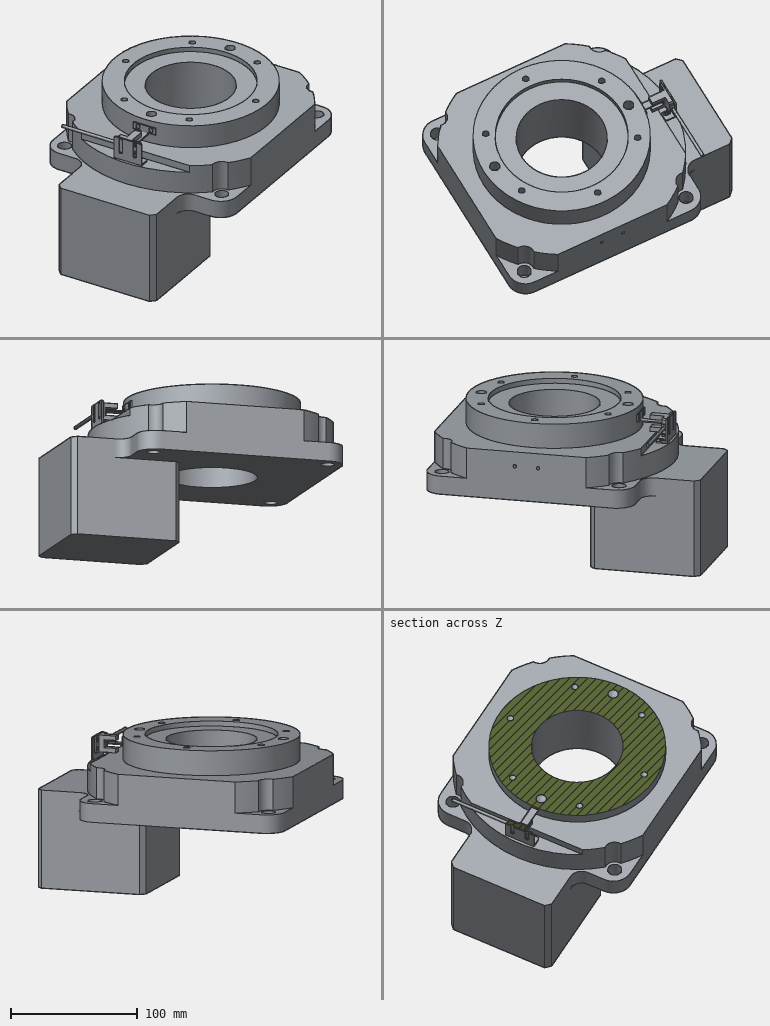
import cadquery as cq
import math


flange_size = 170.0
flange_height = 15.0
flange_corner_radius = 15.0
mount_hole_spacing = 145.0
mount_hole_diameter = 11.0
screw_head_clearance_radius = 8.0

housing_radius = 98.0
housing_top = 40.0

table_radius = 70.0
table_top = 60.0
bore_diameter = 72.0
recess_diameter = 105.0
recess_depth = 4.0

table_hole_circle_radius = 60.0
table_screw_count = 6
table_screw_diameter = 5.0
table_screw_depth = 12.0
dowel_hole_diameter = 8.0
dowel_hole_depth = 12.0
drill_point_angle = 118.0

motor_size = 90.0
motor_front_y = -130.6
motor_bottom = -64.0
motor_chamfer = 4.2
motor_blend_radius = 10.0

port_spacing = 19.0
port_height = 28.0
port_diameter = 2.5
port_depth = 6.0

ledge_back_y = -84.3
ledge_height = 33.9

bracket_center_x = -0.3
bracket_width = 25.5
bracket_thickness = 1.2
bracket_bend_radius = 0.6
bracket_face_y = -94.6
bracket_top = 53.6
bracket_corner_radius = 1.5
foot_back_y = -86.4
foot_notch_width = 9.4
foot_notch_end_y = -93.0
foot_slot_spacing = 14.0
foot_slot_width = 2.8
foot_slot_length = 5.5
bracket_screw_y = -90.5
bracket_screw_diameter = 2.5
bracket_screw_depth = 8.0
sensor_slot_z = 46.3
sensor_slot_spacing = 13.0
sensor_slot_width = 3.2
sensor_slot_length = 13.6

sensor_center_x = -0.6
sensor_bottom = housing_top
sensor_height = 13.6
sensor_mid_z = sensor_bottom + sensor_height / 2
sensor_base_width = 20.6
sensor_base_chamfer = 1.2
sensor_left_base_depth = 3.9
sensor_right_base_depth = 1.6
fork_width = 6.4
fork_tip_y = -79.2
fork_gap = 6.3
fork_gap_end_y = -89.1
sensor_hole_offset_x = 7.0
sensor_hole_spacing = 7.0
sensor_hole_diameter = 3.2
outlet_length = 1.5
outlet_height = 5.0
cable_diameter = 2.5
cable_end_x = -62.0
cable_y = -93.2

dog_thickness = 1.0
dog_plate_width = 20.8
dog_plate_bottom = 49.0
dog_plate_top = 55.0
dog_slot_z = (dog_plate_bottom + dog_plate_top) / 2
dog_slot_spacing = 12.0
dog_slot_width = 3.2
dog_slot_length = 4.6
flag_width = 6.4
flag_bend_radius = 0.6
flag_bottom = 47.0
flag_tip_y = -88.8


def box(x_range, y_range, z_range):
    """Block between two limits on each axis."""
    size = [limits[1] - limits[0] for limits in (x_range, y_range, z_range)]
    corner = (x_range[0], y_range[0], z_range[0])
    return cq.Workplane("XY").box(*size, centered=False).translate(corner)


def span(center, width):
    """Lower and upper limit of a width around its center."""
    return (center - width / 2, center + width / 2)


def blind_holes(points, top, diameter, depth):
    """Drilled holes going down from height `top`, each with a conical end."""
    mouths = cq.Workplane("XY").workplane(offset=top).pushPoints(points)
    holes = mouths.circle(diameter / 2).extrude(-depth)
    half_angle = math.radians(drill_point_angle / 2)
    cone_height = diameter / 2 / math.tan(half_angle)
    for x, y in points:
        cone = cq.Solid.makeCone(
            diameter / 2, 0, cone_height, cq.Vector(x, y, top - depth), cq.Vector(0, 0, -1)
        )
        holes = holes.union(cq.Workplane(cone))
    return holes


def make_motor_block():
    motor_y = (motor_front_y, motor_front_y + motor_size)
    block = box(span(0, motor_size), motor_y, (motor_bottom, flange_height))
    return block.edges("|Z").chamfer(motor_chamfer)


def make_flange():
    flange = cq.Workplane("XY").rect(flange_size, flange_size).extrude(flange_height)
    return flange.edges("|Z").fillet(flange_corner_radius)


def make_motor_blends():
    """Concave blends between the flange front and the motor sides."""
    front_y = -flange_size / 2
    blends = []
    for side in (-1, 1):
        inner_x = side * motor_size / 2
        center_x = inner_x + side * motor_blend_radius
        corner = box(
            sorted((inner_x, center_x)), (front_y - motor_blend_radius, front_y), (0, flange_height)
        )
        round_tool = (
            cq.Workplane("XY")
            .center(center_x, front_y - motor_blend_radius)
            .circle(motor_blend_radius)
            .extrude(flange_height)
        )
        blends.append(corner.cut(round_tool))
    return blends


def make_housing():
    """Round housing trimmed by the flange sides and back but bulging over the motor."""
    height = housing_top - flange_height
    disc = cq.Workplane("XY").workplane(offset=flange_height).circle(housing_radius).extrude(height)
    limits = box(
        span(0, flange_size), (-housing_radius, flange_size / 2), (flange_height, housing_top)
    )
    clearances = (
        cq.Workplane("XY")
        .workplane(offset=flange_height)
        .rect(mount_hole_spacing, mount_hole_spacing, forConstruction=True)
        .vertices()
        .circle(screw_head_clearance_radius)
        .extrude(height)
    )
    ledge = box(
        span(0, 2 * housing_radius), (-housing_radius, ledge_back_y), (ledge_height, housing_top)
    )
    return disc.intersect(limits).cut(clearances).cut(ledge)


def make_mount_holes():
    return (
        cq.Workplane("XY")
        .rect(mount_hole_spacing, mount_hole_spacing, forConstruction=True)
        .vertices()
        .circle(mount_hole_diameter / 2)
        .extrude(flange_height)
    )


def make_table_holes():
    angles = [2 * math.pi * i / table_screw_count for i in range(table_screw_count)]
    screw_points = [
        (table_hole_circle_radius * math.cos(angle), table_hole_circle_radius * math.sin(angle))
        for angle in angles
    ]
    dowel_points = [(0, -table_hole_circle_radius), (0, table_hole_circle_radius)]
    screws = blind_holes(screw_points, table_top, table_screw_diameter, table_screw_depth)
    dowels = blind_holes(dowel_points, table_top, dowel_hole_diameter, dowel_hole_depth)
    return screws.union(dowels)


def make_side_ports():
    return (
        cq.Workplane("YZ")
        .workplane(offset=-flange_size / 2)
        .pushPoints([(y, port_height) for y in span(0, port_spacing)])
        .circle(port_diameter / 2)
        .extrude(port_depth)
    )


def make_actuator():
    table = cq.Workplane("XY").workplane(offset=housing_top).circle(table_radius)
    table = table.extrude(table_top - housing_top)
    body = make_flange().union(make_motor_block())
    for blend in make_motor_blends():
        body = body.union(blend)
    body = body.union(make_housing()).union(table)

    bore = cq.Workplane("XY").circle(bore_diameter / 2).extrude(table_top)
    recess = cq.Workplane("XY").workplane(offset=table_top).circle(recess_diameter / 2)
    recess = recess.extrude(-recess_depth)
    bracket_points = [
        (x, bracket_screw_y) for x in span(bracket_center_x, foot_slot_spacing)
    ]
    bracket_holes = blind_holes(
        bracket_points, ledge_height, bracket_screw_diameter, bracket_screw_depth
    )
    tools = [
        bore,
        recess,
        bracket_holes,
        make_mount_holes(),
        make_table_holes(),
        make_side_ports(),
    ]
    for tool in tools:
        body = body.cut(tool)
    return body


def make_bracket():
    width = span(bracket_center_x, bracket_width)
    outer_y = bracket_face_y - bracket_thickness
    plate = box(width, (outer_y, bracket_face_y), (ledge_height, bracket_top))
    plate = plate.edges("|Y and >Z").fillet(bracket_corner_radius)
    slots = (
        cq.Workplane("XZ", origin=(0, bracket_face_y, 0))
        .pushPoints([(x, sensor_slot_z) for x in span(bracket_center_x, sensor_slot_spacing)])
        .slot2D(sensor_slot_length, sensor_slot_width, 90)
        .extrude(bracket_thickness)
    )

    foot_z = (ledge_height, ledge_height + bracket_thickness)
    foot = box(width, (outer_y, foot_back_y), foot_z)
    notch = box(span(bracket_center_x, foot_notch_width), (foot_notch_end_y, foot_back_y), foot_z)
    foot = foot.cut(notch).edges("|Z and >Y").fillet(bracket_corner_radius)
    foot_slots = (
        cq.Workplane("XY", origin=(0, 0, ledge_height))
        .pushPoints([(x, bracket_screw_y) for x in span(bracket_center_x, foot_slot_spacing)])
        .slot2D(foot_slot_length, foot_slot_width, 90)
        .extrude(bracket_thickness)
    )
    bracket = plate.cut(slots).union(foot.cut(foot_slots))
    return bracket.edges("|X and <Y and <Z").fillet(bracket_bend_radius)


def make_sensor():
    left, right = span(sensor_center_x, sensor_base_width)
    fork_x = span(sensor_center_x, fork_width)
    height = (sensor_bottom, sensor_bottom + sensor_height)
    left_base_y = (bracket_face_y, bracket_face_y + sensor_left_base_depth)
    right_base_y = (bracket_face_y, bracket_face_y + sensor_right_base_depth)

    left_base = box((left, fork_x[1]), left_base_y, height)
    left_base = left_base.edges("|Y and <X").chamfer(sensor_base_chamfer)
    right_base = box((fork_x[0], right), right_base_y, height)
    right_base = right_base.edges("|Y and >X").chamfer(sensor_base_chamfer)
    fork = box(fork_x, (bracket_face_y, fork_tip_y), height)
    gap = box(fork_x, (fork_gap_end_y, fork_tip_y), span(sensor_mid_z, fork_gap))
    outlet = box((left - outlet_length, left), left_base_y, span(sensor_mid_z, outlet_height))
    cable = (
        cq.Workplane("YZ", origin=(left - outlet_length, cable_y, sensor_mid_z))
        .circle(cable_diameter / 2)
        .extrude(cable_end_x - (left - outlet_length))
    )
    hole_x = sensor_center_x + sensor_hole_offset_x
    holes = (
        cq.Workplane("XZ", origin=(0, right_base_y[1], 0))
        .pushPoints([(hole_x, z) for z in span(sensor_mid_z, sensor_hole_spacing)])
        .circle(sensor_hole_diameter / 2)
        .extrude(sensor_right_base_depth)
    )
    body = left_base.union(right_base).union(fork).cut(gap).cut(holes)
    return body.union(outlet).union(cable)


def make_dog():
    back_y = -table_radius
    outer_y = back_y - dog_thickness
    plate = box(span(0, dog_plate_width), (outer_y, back_y), (dog_plate_bottom, dog_plate_top))
    slots = (
        cq.Workplane("XZ", origin=(0, back_y, 0))
        .pushPoints([(x, dog_slot_z) for x in span(0, dog_slot_spacing)])
        .slot2D(dog_slot_length, dog_slot_width, 90)
        .extrude(dog_thickness)
    )
    flag_x = span(0, flag_width)
    neck = box(flag_x, (outer_y, back_y), (flag_bottom, dog_plate_bottom))
    flag = box(flag_x, (flag_tip_y, back_y), (flag_bottom, flag_bottom + dog_thickness))
    bend = cq.selectors.NearestToPointSelector((0, outer_y, flag_bottom + dog_thickness))
    bent_arm = neck.union(flag).edges(bend).fillet(flag_bend_radius)
    return plate.cut(slots).union(bent_arm)


actuator = make_actuator()
bracket = make_bracket()
sensor = make_sensor()
dog = make_dog()

result = cq.Compound.makeCompound([actuator.val(), bracket.val(), sensor.val(), dog.val()])